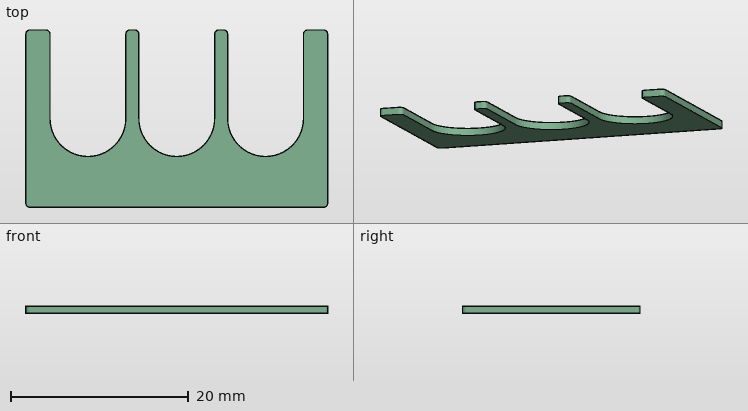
import cadquery as cq

length = 34.0
width = 20.0
thickness = 0.8
corner_radius = 0.5

slot_count = 3
slot_width = 8.5
slot_pitch = 10.0
slot_radius = slot_width / 2
slot_center_y = 0.0


def slot_cutter(center_x):
    """Straight slot from the +Y edge down to a full-radius end."""
    left = center_x - slot_radius
    right = center_x + slot_radius
    return (
        cq.Workplane("XY")
        .moveTo(left, width / 2)
        .lineTo(left, slot_center_y)
        .threePointArc((center_x, slot_center_y - slot_radius), (right, slot_center_y))
        .lineTo(right, width / 2)
        .close()
        .extrude(thickness)
    )


plate = cq.Workplane("XY").box(length, width, thickness, centered=(True, True, False))

for index in range(slot_count):
    plate = plate.cut(slot_cutter((index - (slot_count - 1) / 2) * slot_pitch))

result = plate.edges("|Z and (>Y or <Y)").fillet(corner_radius)